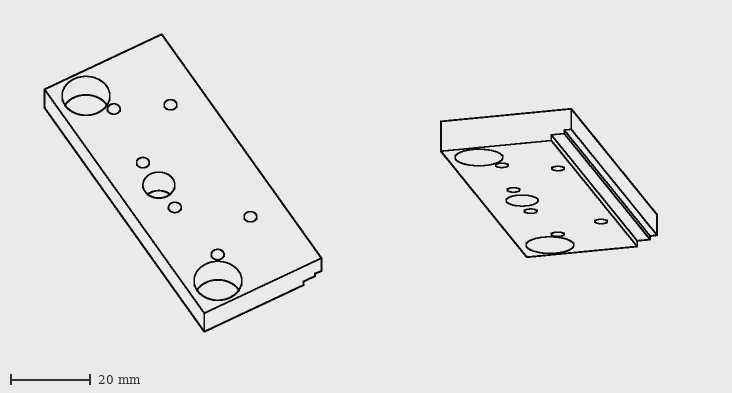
import cadquery as cq

length = 80.0
width = 34.0
thickness = 8.0

inner_step_depth = 5.2
inner_step_height = 1.5
outer_step_depth = 1.8
outer_step_height = 2.5

small_diameter = 3.2
centre_diameter = 8.0
end_diameter = 12.0
centre_row_y = 10.0
centre_pair_offset = 8.0
end_offset = 33.0
end_y = 8.0
inboard_offset = 26.0
inboard_y = 12.0
back_offset = length / 4
back_y = 25.0


def stepped_plate():
    """Side profile in the YZ plane, extruded along the plate length."""
    return (
        cq.Workplane("YZ")
        .moveTo(0, 0)
        .lineTo(width - inner_step_depth, 0)
        .lineTo(width - inner_step_depth, inner_step_height)
        .lineTo(width - outer_step_depth, inner_step_height)
        .lineTo(width - outer_step_depth, outer_step_height)
        .lineTo(width, outer_step_height)
        .lineTo(width, thickness)
        .lineTo(0, thickness)
        .close()
        .extrude(length / 2, both=True)
    )


def mirrored_pair(offset, y):
    """Two points placed symmetrically about the X centre line."""
    return [(-offset, y), (offset, y)]


def through_holes(diameter, points):
    """Vertical cylinders that pass through the whole plate."""
    return cq.Workplane("XY").pushPoints(points).circle(diameter / 2).extrude(thickness)


small_points = (
    mirrored_pair(centre_pair_offset, centre_row_y)
    + mirrored_pair(inboard_offset, inboard_y)
    + mirrored_pair(back_offset, back_y)
)

result = (
    stepped_plate()
    .cut(through_holes(small_diameter, small_points))
    .cut(through_holes(centre_diameter, [(0, centre_row_y)]))
    .cut(through_holes(end_diameter, mirrored_pair(end_offset, end_y)))
)